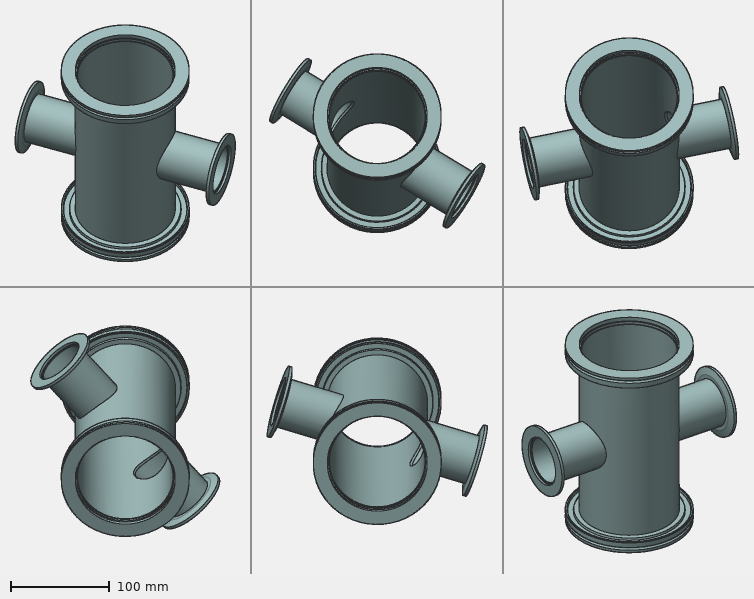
import cadquery as cq
import math

overall_length = 210.8
overall_height = 209.7

main_tube_outer = 101.6
main_tube_bore = 97.0

side_tube_outer = 50.8
side_tube_bore = 47.6

main_flange_outer = 130.0
main_flange_thickness = 12.2
main_counterbore = 101.5
main_counterbore_depth = 4.5
main_lip_bore = 98.7
main_lip_length = 3.0
main_socket = 102.0
rim_groove_center = 4.6
rim_groove_width = 3.0
rim_groove_depth = 1.5
recess_floor_outer = 125.0
recess_mouth_inner = 112.5
recess_depth = 2.3
recess_wall_slope = 0.6
back_chamfer = 0.5

side_flange_outer = 75.0
side_flange_thickness = 5.0
side_rim_width = 3.0
side_cone_angle = 15.0
side_counterbore = 51.2
side_counterbore_depth = 2.5
side_lip_bore = 49.1
side_lip_length = 1.0
side_socket = 51.0

half_length = overall_length / 2
half_height = overall_height / 2
main_tube_end = half_height - main_counterbore_depth - main_lip_length
side_tube_end = half_length - side_counterbore_depth - side_lip_length


def cylinder(diameter, start, end):
    """Cylinder on the Z axis between two heights."""
    return cq.Workplane("XY").workplane(offset=start).circle(diameter / 2).extrude(end - start)


def stepped_bore(thickness, counterbore, counterbore_depth, lip_bore, lip_length, socket):
    """Bore through a flange: counterbore at the face, inner lip, then a socket for the tube."""
    lip_end = counterbore_depth + lip_length
    bore = cylinder(counterbore, 0, counterbore_depth)
    bore = bore.union(cylinder(lip_bore, 0, thickness))
    return bore.union(cylinder(socket, lip_end, thickness))


def make_main_flange():
    """Main flange with its sealing face at Z = 0 and its back toward +Z."""
    rim_radius = main_flange_outer / 2
    groove_start = rim_groove_center - rim_groove_width / 2
    groove_end = rim_groove_center + rim_groove_width / 2
    floor_height = main_flange_thickness - recess_depth
    floor_outer_radius = recess_floor_outer / 2
    mouth_inner_radius = recess_mouth_inner / 2
    body = (
        cq.Workplane("XZ")
        .lineTo(rim_radius, 0)
        .lineTo(rim_radius, groove_start)
        .threePointArc((rim_radius - rim_groove_depth, rim_groove_center), (rim_radius, groove_end))
        .lineTo(rim_radius, main_flange_thickness - back_chamfer)
        .lineTo(rim_radius - back_chamfer, main_flange_thickness)
        .lineTo(floor_outer_radius + recess_wall_slope, main_flange_thickness)
        .lineTo(floor_outer_radius, floor_height)
        .lineTo(mouth_inner_radius + recess_wall_slope, floor_height)
        .lineTo(mouth_inner_radius, main_flange_thickness)
        .lineTo(0, main_flange_thickness)
        .close()
        .revolve(360, (0, 0, 0), (0, 1, 0))
    )
    bore = stepped_bore(
        main_flange_thickness, main_counterbore, main_counterbore_depth,
        main_lip_bore, main_lip_length, main_socket,
    )
    return body.cut(bore)


def make_side_flange():
    """Side flange with its sealing face at Z = 0 and its conical back toward +Z."""
    rim_radius = side_flange_outer / 2
    cone_length = side_flange_thickness - side_rim_width
    back_radius = rim_radius - cone_length / math.tan(math.radians(side_cone_angle))
    body = (
        cq.Workplane("XZ")
        .lineTo(rim_radius, 0)
        .lineTo(rim_radius, side_rim_width)
        .lineTo(back_radius, side_flange_thickness)
        .lineTo(0, side_flange_thickness)
        .close()
        .revolve(360, (0, 0, 0), (0, 1, 0))
    )
    bore = stepped_bore(
        side_flange_thickness, side_counterbore, side_counterbore_depth,
        side_lip_bore, side_lip_length, side_socket,
    )
    return body.cut(bore)


def turn_to_x(body):
    """Turn a body's Z axis onto the X axis."""
    return body.rotate((0, 0, 0), (0, 1, 0), 90)


def make_main_tube():
    """Main tube with a cross bore that opens into both side tubes."""
    tube = cylinder(main_tube_outer, -main_tube_end, main_tube_end)
    tube = tube.cut(cylinder(main_tube_bore, -main_tube_end, main_tube_end))
    return tube.cut(turn_to_x(cylinder(side_tube_bore, -half_length, half_length)))


def make_side_tube():
    """Side tube on +X, its inner end shaped to the main tube's outer surface."""
    tube = cylinder(side_tube_outer, 0, side_tube_end)
    tube = tube.cut(cylinder(side_tube_bore, 0, side_tube_end))
    return turn_to_x(tube).cut(cylinder(main_tube_outer, -half_height, half_height))


main_tube = make_main_tube()
bottom_flange = make_main_flange().translate((0, 0, -half_height))
left_flange = turn_to_x(make_side_flange()).translate((-half_length, 0, 0))
right_tube = make_side_tube()

main_flanges = []
side_flanges = []
side_tubes = []
for turn in (0, 180):
    main_flanges.append(bottom_flange.rotate((0, 0, 0), (0, 1, 0), turn).val())
    side_flanges.append(left_flange.rotate((0, 0, 0), (0, 0, 1), turn).val())
    side_tubes.append(right_tube.rotate((0, 0, 0), (0, 0, 1), turn).val())

result = cq.Compound.makeCompound([main_tube.val(), *main_flanges, *side_flanges, *side_tubes])